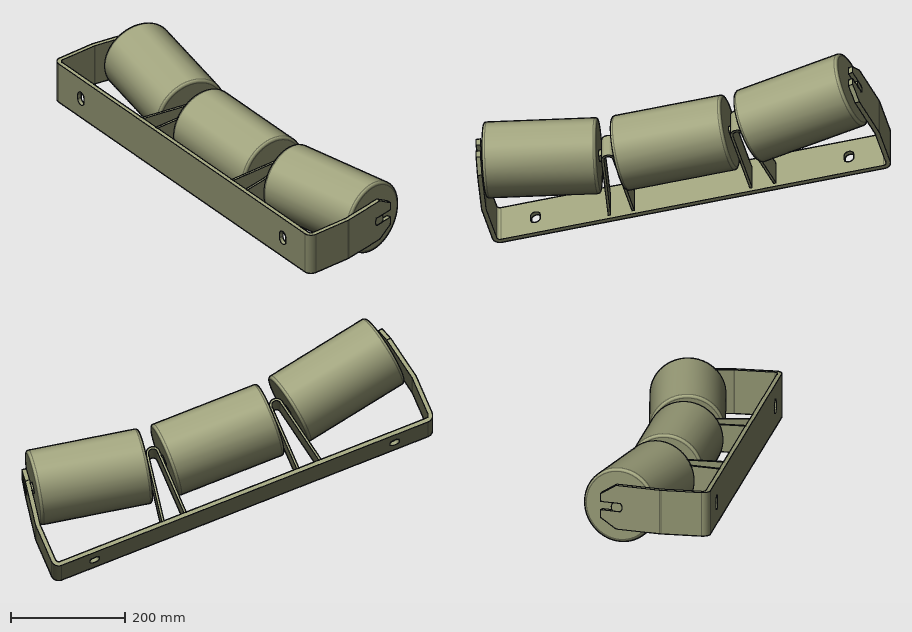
import cadquery as cq
import math


FRAME_LENGTH = 720.0
FRAME_HEIGHT = 80.0
STRAP_THICKNESS = 8.0
BEND_RADIUS = 14.0
ARM_KINK_Y = 86.5
ARM_TIP_Y = 196.0
TIP_CHAMFER_LENGTH = 28.0
TIP_CHAMFER_HEIGHT = 18.0

MOUNT_SLOT_X = 284.0
MOUNT_SLOT_Z = -1.0
MOUNT_SLOT_WIDTH = 17.0
MOUNT_SLOT_HEIGHT = 26.0

HANGER_HEIGHT = 50.0
HANGER_THICKNESS = 4.0
HANGER_X = 104.5
HANGER_TOP_Y = 150.0
HANGER_BEND_RADIUS = 12.0

ROLLER_DIAMETER = 133.0
ROLLER_LENGTH = 200.0
ROLLER_FILLET = 5.0
SHAFT_DIAMETER = 20.0
SHAFT_FLATS = 15.0
CENTRE_ROLLER_Y = 125.0
CENTRE_ROLLER_Z = -7.0
WING_ROLLER_X = 234.0
WING_ROLLER_Y = 147.0
WING_ROLLER_Z = -3.95
WING_ANGLE = 10.0
DROP_ANGLE = 2.0
WING_STUB_OUT = 14.0
WING_STUB_IN = 6.0
SLOT_CUT_LENGTH = 2 * WING_STUB_OUT

HALF_LENGTH = FRAME_LENGTH / 2
LEAN = math.radians(WING_ANGLE)


def box(x_range, y_range, z_range):
    """Box given by its limits along each axis."""
    sizes = [high - low for low, high in (x_range, y_range, z_range)]
    corner = (x_range[0], y_range[0], z_range[0])
    return cq.Workplane("XY").box(*sizes, centered=False).translate(corner)


def edge_at(x, y):
    """Selector for the upright edge through (x, y)."""
    return cq.selectors.NearestToPointSelector((x, y, 0))


def both_sides(left):
    """A left-hand shape joined with its mirror image."""
    return left.union(left.mirror("YZ"))


def make_strap():
    tip_x = -HALF_LENGTH + (ARM_TIP_Y - ARM_KINK_Y) * math.tan(LEAN)
    inner_x = -HALF_LENGTH + STRAP_THICKNESS
    inner_kink_y = ARM_KINK_Y - STRAP_THICKNESS * math.tan(LEAN / 2)
    inner_tip = (tip_x + STRAP_THICKNESS * math.cos(LEAN), ARM_TIP_Y - STRAP_THICKNESS * math.sin(LEAN))
    left = (
        cq.Workplane("XY")
        .workplane(offset=-FRAME_HEIGHT / 2)
        .polyline([
            (0, 0),
            (-HALF_LENGTH, 0),
            (-HALF_LENGTH, ARM_KINK_Y),
            (tip_x, ARM_TIP_Y),
            inner_tip,
            (inner_x, inner_kink_y),
            (inner_x, STRAP_THICKNESS),
            (0, STRAP_THICKNESS),
        ])
        .close()
        .extrude(FRAME_HEIGHT)
    )
    outer_bends = [(-HALF_LENGTH, 0), (-HALF_LENGTH, ARM_KINK_Y)]
    inner_bends = [(inner_x, STRAP_THICKNESS), (inner_x, inner_kink_y)]
    for x, y in outer_bends:
        left = left.edges(edge_at(x, y)).fillet(BEND_RADIUS)
    for x, y in inner_bends:
        left = left.edges(edge_at(x, y)).fillet(BEND_RADIUS - STRAP_THICKNESS)
    return both_sides(left.cut(make_tip_chamfers()))


def make_tip_chamfers():
    """Wedges that bevel the upper and lower corner of the left arm tip."""
    upper = (
        cq.Workplane("YZ")
        .workplane(offset=-HALF_LENGTH)
        .polyline([
            (ARM_TIP_Y, FRAME_HEIGHT / 2),
            (ARM_TIP_Y - TIP_CHAMFER_LENGTH, FRAME_HEIGHT / 2),
            (ARM_TIP_Y, FRAME_HEIGHT / 2 - TIP_CHAMFER_HEIGHT),
        ])
        .close()
        .extrude(HALF_LENGTH)
    )
    return upper.union(upper.mirror("XY"))


def make_mount_slots():
    return (
        cq.Workplane("XZ")
        .pushPoints([(-MOUNT_SLOT_X, MOUNT_SLOT_Z), (MOUNT_SLOT_X, MOUNT_SLOT_Z)])
        .slot2D(MOUNT_SLOT_HEIGHT, MOUNT_SLOT_WIDTH, 90)
        .extrude(-STRAP_THICKNESS)
    )


def hanger_outline(radius):
    """Solid under an inverted U: an upright leg, a bend of the given radius and a leaning leg."""
    bend_x = -HANGER_X - HANGER_BEND_RADIUS
    bend_y = HANGER_TOP_Y - HANGER_BEND_RADIUS
    lean_start = (bend_x - radius * math.cos(LEAN), bend_y + radius * math.sin(LEAN))
    foot_y = STRAP_THICKNESS
    lean_foot = (lean_start[0] - (lean_start[1] - foot_y) * math.tan(LEAN), foot_y)
    return (
        cq.Workplane("XY")
        .workplane(offset=CENTRE_ROLLER_Z - HANGER_HEIGHT / 2)
        .moveTo(bend_x + radius, foot_y)
        .lineTo(bend_x + radius, bend_y)
        .threePointArc((bend_x, bend_y + radius), lean_start)
        .lineTo(*lean_foot)
        .close()
        .extrude(HANGER_HEIGHT)
    )


def make_hangers():
    inner_radius = HANGER_BEND_RADIUS - HANGER_THICKNESS
    return both_sides(hanger_outline(HANGER_BEND_RADIUS).cut(hanger_outline(inner_radius)))


def make_roller(left_stub, right_stub):
    """Roller along X, centred on the origin, with flattened shaft stubs."""
    drum = (
        cq.Workplane("YZ")
        .workplane(offset=-ROLLER_LENGTH / 2)
        .circle(ROLLER_DIAMETER / 2)
        .extrude(ROLLER_LENGTH)
        .edges()
        .fillet(ROLLER_FILLET)
    )
    left_end = -ROLLER_LENGTH / 2 - left_stub
    right_end = ROLLER_LENGTH / 2 + right_stub
    shaft = (
        cq.Workplane("YZ")
        .workplane(offset=left_end)
        .circle(SHAFT_DIAMETER / 2)
        .extrude(right_end - left_end)
    )
    flats = box(
        (left_end, right_end),
        (-SHAFT_DIAMETER, SHAFT_DIAMETER),
        (-SHAFT_FLATS / 2, SHAFT_FLATS / 2),
    )
    return drum.union(shaft.intersect(flats))


def place_wing(shape):
    """Tilt a shape built along X and move it to the left wing roller's place."""
    return (
        shape.rotate((0, 0, 0), (0, 1, 0), DROP_ANGLE)
        .rotate((0, 0, 0), (0, 0, 1), -WING_ANGLE)
        .translate((-WING_ROLLER_X, WING_ROLLER_Y, WING_ROLLER_Z))
    )


def make_arm_slot():
    """Slot, open at the left arm tip, that the wing roller's flattened shaft drops into."""
    slot = box(
        (-ROLLER_LENGTH / 2 - SLOT_CUT_LENGTH, -ROLLER_LENGTH / 2),
        (0, ARM_TIP_Y),
        (-SHAFT_FLATS / 2, SHAFT_FLATS / 2),
    )
    return place_wing(slot.union(make_roller(SLOT_CUT_LENGTH, 0)))


hangers = make_hangers()
centre_stub = HANGER_X - ROLLER_LENGTH / 2
centre_roller = make_roller(centre_stub, centre_stub).translate((0, CENTRE_ROLLER_Y, CENTRE_ROLLER_Z))
arm_slots = both_sides(make_arm_slot())
frame = make_strap().cut(make_mount_slots()).cut(arm_slots).union(hangers).union(centre_roller)

left_wing = place_wing(make_roller(WING_STUB_OUT, WING_STUB_IN)).cut(hangers)
wing_rollers = []
for wing in (left_wing, left_wing.mirror("YZ")):
    wing_rollers.append(wing.solids().val())

result = cq.Compound.makeCompound([frame.solids().val(), *wing_rollers])